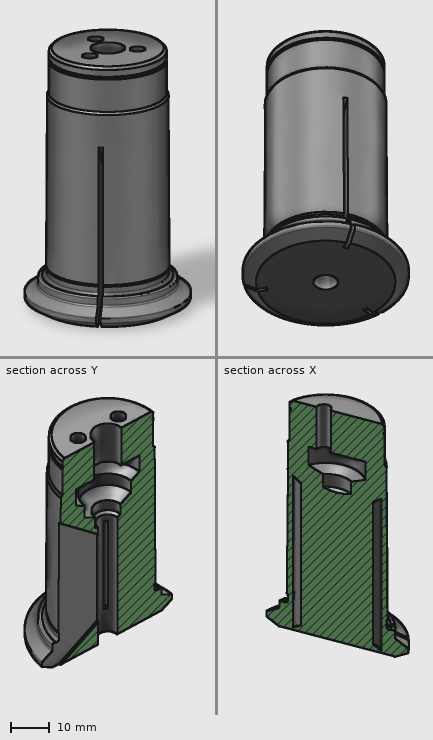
import cadquery as cq
import math

TOTAL_HEIGHT = 70.0
AXIS_LENGTH = 1.0
TOLERANCE = 0.01

FLANGE_RADIUS = 21.5
NOSE_RADIUS = 18.0
FLANGE_CONE_ANGLE = 30.0
FLANGE_CONE_HEIGHT = (FLANGE_RADIUS - NOSE_RADIUS) * math.tan(math.radians(FLANGE_CONE_ANGLE))
SHOULDER_BASE_Z = 5.65
FLANGE_RIM_TOP_Z = SHOULDER_BASE_Z - FLANGE_CONE_HEIGHT
SHOULDER_TOP_Z = 8.0
RIM_LOWER_FILLET = 0.5
RIM_UPPER_FILLET = 0.2
SHOULDER_BASE_FILLET = 0.6
SHOULDER_TOP_FILLET = 0.4

NECK_RADIUS = 15.75
NECK_ARC_TOP_Z = 8.65
NECK_ARC_FOOT_RADIUS = 16.95
NECK_TOP_Z = 10.2
RUNOUT_RADIUS = 15.85
RUNOUT_Z = 10.4
BODY_BOTTOM_RADIUS = 16.0
BODY_BOTTOM_Z = 10.8
BODY_TOP_RADIUS = 15.75
BODY_TOP_Z = 57.1

COLLAR_RADIUS = 15.25
COLLAR_BOTTOM_Z = 57.8
CAP_GROOVE_RADIUS = 14.95
CAP_GROOVE_BOTTOM_Z = 66.6
CAP_GROOVE_FLOOR_Z = 67.05
CAP_BOTTOM_Z = 67.3
CAP_CHAMFER = 0.75

CLAMP_BORE_RADIUS = 6.35 / 2
RELIEF_BORE_RADIUS = 8.4 / 2
STEP_BORE_RADIUS = 15.5 / 2
CAVITY_RADIUS = 21.0 / 2
CAP_BORE_RADIUS = 8.92 / 2
RELIEF_BORE_Z = 40.0
STEP_BORE_Z = 44.0
CAVITY_Z = 50.0
CAVITY_TOP_Z = 57.0
BORE_CONE_SLOPE = 0.6

HOLE_COUNT = 3
HOLE_RADIUS = 4.0 / 2
HOLE_CIRCLE_RADIUS = 15.5 / 2
FIRST_HOLE_ANGLE = 30.0

SLIT_COUNT = 3
SLIT_WIDTH = 1.1
FIRST_SLIT_ANGLE = 60.0
SLIT_TOP_Z = 48.2
SLIT_BORE_TOP_Z = 37.6
SLIT_BORE_BOTTOM_Z = 7.8
SLIT_FOOT_RADIUS = 15.75


def revolve_profile(profile):
    """Revolve a closed (radius, z) outline drawn on the XZ plane around Z."""
    return profile.close().revolve(360, (0, 0), (0, AXIS_LENGTH))


def fillet_ring(solid, radius, z, fillet):
    """Round the circular edge of the given radius and height."""
    def is_ring(edge):
        return abs(edge.radius() - radius) < TOLERANCE and abs(edge.Center().z - z) < TOLERANCE

    return solid.edges("%CIRCLE").filter(is_ring).fillet(fillet)


def make_outside():
    arc_width = NECK_ARC_FOOT_RADIUS - NECK_RADIUS
    arc_height = NECK_ARC_TOP_Z - SHOULDER_TOP_Z
    arc_radius = (arc_width**2 + arc_height**2) / (2 * arc_width)
    sweep_to_middle = math.atan2(arc_height, arc_radius - arc_width) / 2
    neck_arc_middle = (
        NECK_RADIUS + arc_radius * (1 - math.cos(sweep_to_middle)),
        NECK_ARC_TOP_Z - arc_radius * math.sin(sweep_to_middle),
    )
    profile = (
        cq.Workplane("XZ")
        .lineTo(NOSE_RADIUS, 0)
        .lineTo(FLANGE_RADIUS, FLANGE_CONE_HEIGHT)
        .lineTo(FLANGE_RADIUS, FLANGE_RIM_TOP_Z)
        .lineTo(NOSE_RADIUS, SHOULDER_BASE_Z)
        .lineTo(NOSE_RADIUS, SHOULDER_TOP_Z)
        .lineTo(NECK_ARC_FOOT_RADIUS, SHOULDER_TOP_Z)
        .threePointArc(neck_arc_middle, (NECK_RADIUS, NECK_ARC_TOP_Z))
        .lineTo(NECK_RADIUS, NECK_TOP_Z)
        .lineTo(RUNOUT_RADIUS, RUNOUT_Z)
        .lineTo(BODY_BOTTOM_RADIUS, BODY_BOTTOM_Z)
        .lineTo(BODY_TOP_RADIUS, BODY_TOP_Z)
        .lineTo(COLLAR_RADIUS, COLLAR_BOTTOM_Z)
        .lineTo(COLLAR_RADIUS, CAP_GROOVE_BOTTOM_Z)
        .lineTo(CAP_GROOVE_RADIUS, CAP_GROOVE_FLOOR_Z)
        .lineTo(CAP_GROOVE_RADIUS, CAP_BOTTOM_Z)
        .lineTo(COLLAR_RADIUS, CAP_BOTTOM_Z)
        .lineTo(COLLAR_RADIUS, TOTAL_HEIGHT - CAP_CHAMFER)
        .lineTo(COLLAR_RADIUS - CAP_CHAMFER, TOTAL_HEIGHT)
        .lineTo(0, TOTAL_HEIGHT)
    )
    outside = revolve_profile(profile)
    outside = fillet_ring(outside, FLANGE_RADIUS, FLANGE_CONE_HEIGHT, RIM_LOWER_FILLET)
    outside = fillet_ring(outside, FLANGE_RADIUS, FLANGE_RIM_TOP_Z, RIM_UPPER_FILLET)
    outside = fillet_ring(outside, NOSE_RADIUS, SHOULDER_BASE_Z, SHOULDER_BASE_FILLET)
    return fillet_ring(outside, NOSE_RADIUS, SHOULDER_TOP_Z, SHOULDER_TOP_FILLET)


def make_bore():
    """Clamping bore widening upward in drilled steps, closed by the cap and its bore."""
    profile = cq.Workplane("XZ").lineTo(CLAMP_BORE_RADIUS, 0)
    inner_radius = CLAMP_BORE_RADIUS
    steps = [
        (RELIEF_BORE_RADIUS, RELIEF_BORE_Z),
        (STEP_BORE_RADIUS, STEP_BORE_Z),
        (CAVITY_RADIUS, CAVITY_Z),
    ]
    for outer_radius, cone_z in steps:
        cone_height = BORE_CONE_SLOPE * (outer_radius - inner_radius)
        profile = profile.lineTo(inner_radius, cone_z).lineTo(outer_radius, cone_z + cone_height)
        inner_radius = outer_radius
    profile = (
        profile.lineTo(CAVITY_RADIUS, CAVITY_TOP_Z)
        .lineTo(CAP_BORE_RADIUS, CAVITY_TOP_Z)
        .lineTo(CAP_BORE_RADIUS, TOTAL_HEIGHT)
        .lineTo(0, TOTAL_HEIGHT)
    )
    return revolve_profile(profile)


def make_coolant_holes():
    return (
        cq.Workplane("XY", origin=(0, 0, CAVITY_TOP_Z))
        .polarArray(HOLE_CIRCLE_RADIUS, FIRST_HOLE_ANGLE, 360, HOLE_COUNT)
        .circle(HOLE_RADIUS)
        .extrude(TOTAL_HEIGHT - CAVITY_TOP_Z)
    )


def make_slit(angle):
    """Thin radial cut with sloped ends, open to the outside and to the bottom face."""
    return (
        cq.Workplane("XZ")
        .moveTo(0, SLIT_BORE_BOTTOM_Z)
        .lineTo(CLAMP_BORE_RADIUS, SLIT_BORE_BOTTOM_Z)
        .lineTo(SLIT_FOOT_RADIUS, 0)
        .lineTo(FLANGE_RADIUS, 0)
        .lineTo(FLANGE_RADIUS, SLIT_TOP_Z)
        .lineTo(BODY_TOP_RADIUS, SLIT_TOP_Z)
        .lineTo(CLAMP_BORE_RADIUS, SLIT_BORE_TOP_Z)
        .lineTo(0, SLIT_BORE_TOP_Z)
        .close()
        .extrude(SLIT_WIDTH / 2, both=True)
        .rotate((0, 0, 0), (0, 0, AXIS_LENGTH), angle)
    )


result = make_outside().cut(make_bore()).cut(make_coolant_holes())
for slit_index in range(SLIT_COUNT):
    slit_angle = FIRST_SLIT_ANGLE + slit_index * 360 / SLIT_COUNT
    result = result.cut(make_slit(slit_angle))